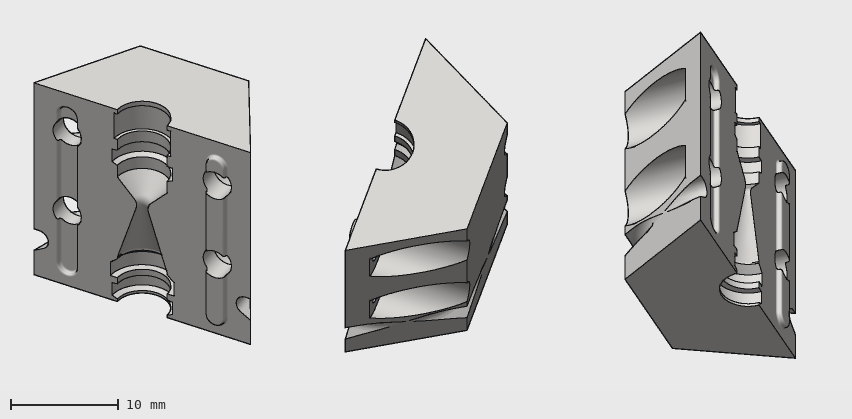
import cadquery as cq
import math

corner_radius = 11.55
apothem = corner_radius * math.cos(math.radians(30))
height = 21.9

screw_x = 8.0
screw_depths = (4.66, 13.65)
screw_diameter = 3.0
head_diameter = 6.0
head_seat_y = 2.0

key_height = 0.5
key_blend = 0.2
key_half_width = 1.0
key_top_z = 19.23
key_bottom_z = 2.25

ring_radius = 1.0
ring_z = 4.23
ring_ramp_angle = math.radians(30)
ring_bottom_radius = 10.0
ring_outer_radius = 12.7

bore_radius = 2.65
insert_radius = 3.0
insert_depths = (0.5, 3.4)
seal_radius = 3.2
seal_depths = (4.62, 19.85)
seal_upper_taper = 0.07
seal_wall_end = 1.48
seal_length = 1.73
inlet_cone_depth = 7.67
inlet_angle = math.radians(45)
throat_radius = 0.6
throat_depth = 10.2
throat_arc_radius = 1.0
outlet_angle = math.radians(18)
outlet_cone_end = 16.8
collar_radius = 3.4
collar_chamfer_start = 17.0
collar_depths = (17.66, 19.16)


def make_body():
    outline = [
        (-corner_radius, 0),
        (corner_radius, 0),
        (corner_radius / 2, apothem),
        (-corner_radius / 2, apothem),
    ]
    return cq.Workplane("XY").polyline(outline).close().extrude(height)


def bore_point(radius, depth):
    return (radius, height - depth)


def throat_point(angle):
    """Point on the throat arc; the angle is positive towards the outlet."""
    radius = throat_radius + throat_arc_radius * (1 - math.cos(angle))
    return bore_point(radius, throat_depth + throat_arc_radius * math.sin(angle))


def seal_groove(start):
    """Profile points of one seal groove, from its upper to its lower end."""
    return [
        bore_point(bore_radius, start),
        bore_point(seal_radius, start + seal_upper_taper),
        bore_point(seal_radius, start + seal_wall_end),
        bore_point(bore_radius, start + seal_length),
    ]


def make_bore():
    inlet = [
        bore_point(0, 0),
        bore_point(bore_radius, 0),
        bore_point(bore_radius, insert_depths[0]),
        bore_point(insert_radius, insert_depths[0]),
        bore_point(insert_radius, insert_depths[1]),
        bore_point(bore_radius, insert_depths[1]),
        *seal_groove(seal_depths[0]),
        bore_point(bore_radius, inlet_cone_depth),
        throat_point(-inlet_angle),
    ]
    outlet = [
        bore_point(bore_radius, outlet_cone_end),
        bore_point(bore_radius, collar_chamfer_start),
        bore_point(collar_radius, collar_depths[0]),
        bore_point(collar_radius, collar_depths[1]),
        bore_point(bore_radius, collar_depths[1]),
        *seal_groove(seal_depths[1]),
        bore_point(bore_radius, height),
        bore_point(0, height),
    ]
    profile = cq.Workplane("XZ").polyline(inlet)
    profile = profile.threePointArc(throat_point(0), throat_point(outlet_angle))
    for point in outlet:
        profile = profile.lineTo(*point)
    return profile.close().revolve(360, (0, 0), (0, 1))


def make_ring_groove():
    """Ring with a flat upper side, a round bottom and a sloping lower side."""
    center_radius = ring_bottom_radius + ring_radius
    ramp_start_radius = center_radius - ring_radius * math.sin(ring_ramp_angle)
    ramp_start_z = ring_z - ring_radius * math.cos(ring_ramp_angle)
    ramp_drop = (ring_outer_radius - ramp_start_radius) * math.tan(ring_ramp_angle)
    return (
        cq.Workplane("XZ")
        .moveTo(ring_outer_radius, ring_z + ring_radius)
        .lineTo(center_radius, ring_z + ring_radius)
        .threePointArc((ring_bottom_radius, ring_z), (ramp_start_radius, ramp_start_z))
        .lineTo(ring_outer_radius, ramp_start_z - ramp_drop)
        .close()
        .revolve(360, (0, 0), (0, 1))
    )


def key_half_profile():
    """Right half of the rib section, with a concave root and a rounded crest."""
    root = key_half_width + key_blend
    crest = key_half_width - key_blend
    return (
        cq.Workplane("XY", origin=(screw_x, 0, key_bottom_z))
        .lineTo(root, 0)
        .radiusArc((key_half_width, -key_blend), -key_blend)
        .lineTo(key_half_width, key_blend - key_height)
        .radiusArc((crest, -key_height), key_blend)
        .lineTo(0, -key_height)
        .close()
    )


def make_key():
    """Rib on the -Y side at +X, with round ends."""
    length = key_top_z - key_bottom_z
    side = key_half_profile().extrude(length)
    end = key_half_profile().revolve(360, (0, 0), (0, 1))
    other_side = side.mirror("YZ", (screw_x, 0, 0))
    other_end = end.translate((0, 0, length))
    return side.union(other_side).union(end).union(other_end)


def make_screw_holes():
    centers = [(side * screw_x, height - depth) for side in (-1, 1) for depth in screw_depths]
    plane = cq.Workplane("XZ").pushPoints(centers)
    holes = plane.circle(screw_diameter / 2).extrude(apothem, both=True)
    heads = plane.circle(head_diameter / 2).extrude(-apothem)
    seat_block = cq.Workplane("XY").box(
        2 * corner_radius, head_seat_y, height, centered=(True, False, False)
    )
    return holes.union(heads.cut(seat_block))


rib = make_key()
key_groove = rib.rotate((0, 0, 0), (0, 0, 1), 180)

result = (
    make_body()
    .cut(make_bore())
    .cut(make_ring_groove())
    .union(rib)
    .cut(key_groove)
    .cut(make_screw_holes())
)